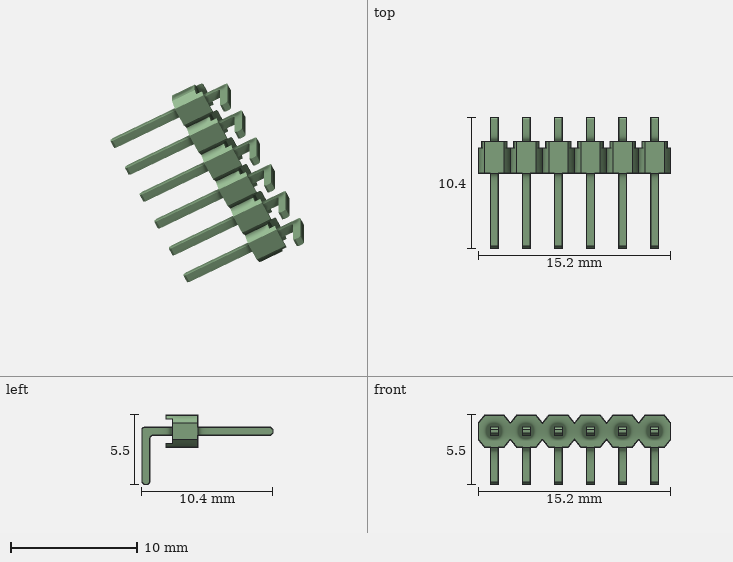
import cadquery as cq

row_length = 15.25
pin_count = 6
pitch = row_length / pin_count

cell_height = pitch
housing_depth = pitch
corner_width = 0.5
corner_height = 0.63

channel_depth = 0.52
lip_thickness = 0.3

pin_size = 0.64
front_reach = 5.96
overall_length = 10.4
overall_height = 5.5
tip_taper_length = 0.2
tip_taper_inset = 0.18
bend_outer_radius = 0.2
bend_inner_radius = 0.27

pin_front = -front_reach
pin_rear = overall_length - front_reach
pin_top = pin_size / 2
pin_bottom = cell_height / 2 - overall_height

cell_centres = [(index - (pin_count - 1) / 2) * pitch for index in range(pin_count)]


def make_cell(centre_x):
    """Octagonal prism running back from the front face."""
    half_width = pitch / 2
    half_height = cell_height / 2
    flat = half_width - corner_width
    side = half_height - corner_height
    outline = [
        (-flat, half_height),
        (flat, half_height),
        (half_width, side),
        (half_width, -side),
        (flat, -half_height),
        (-flat, -half_height),
        (-half_width, -side),
        (-half_width, side),
    ]
    cell = cq.Workplane("XZ").polyline(outline).close().extrude(-housing_depth)
    return cell.translate((centre_x, 0, 0))


def make_channel():
    """Cutter for the channel along the full rear face of the housing."""
    channel_height = cell_height - 2 * lip_thickness
    channel = cq.Workplane("XY").box(row_length, channel_depth, channel_height)
    return channel.translate((0, housing_depth - channel_depth / 2, 0))


def make_pin(centre_x):
    """L-shaped pin with tapered tips and a rounded bend."""
    inner_y = pin_rear - pin_size
    taper_front = pin_front + tip_taper_length
    taper_bottom = pin_bottom + tip_taper_length
    tip_half = pin_top - tip_taper_inset
    outline = [
        (taper_front, pin_top),
        (pin_rear, pin_top),
        (pin_rear, taper_bottom),
        (pin_rear - tip_taper_inset, pin_bottom),
        (inner_y + tip_taper_inset, pin_bottom),
        (inner_y, taper_bottom),
        (inner_y, -pin_top),
        (taper_front, -pin_top),
        (pin_front, -tip_half),
        (pin_front, tip_half),
    ]
    pin = cq.Workplane("YZ").polyline(outline).close().extrude(pin_size / 2, both=True)
    outer_corner = cq.selectors.NearestToPointSelector((0, pin_rear, pin_top))
    pin = pin.edges(outer_corner).fillet(bend_outer_radius)
    inner_corner = cq.selectors.NearestToPointSelector((0, inner_y, -pin_top))
    pin = pin.edges(inner_corner).fillet(bend_inner_radius)
    return pin.translate((centre_x, 0, 0))


housing = make_cell(cell_centres[0])
for x in cell_centres[1:]:
    housing = housing.union(make_cell(x))
housing = housing.cut(make_channel())

result = housing
for x in cell_centres:
    result = result.union(make_pin(x))